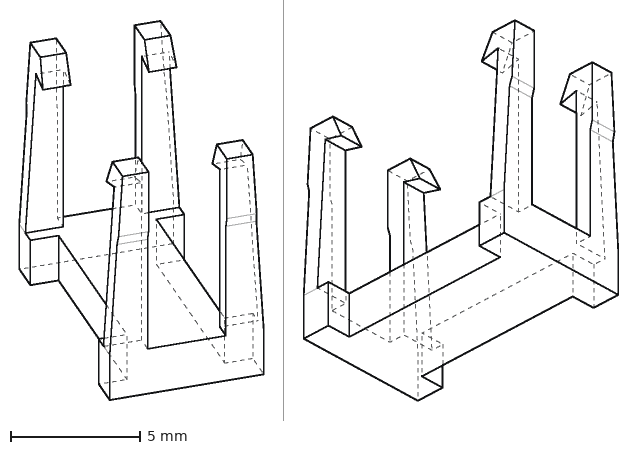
import cadquery as cq
import math

base_length = 10.9
base_height = 2.0
plate_width = 4.0
crossbar_length = 1.35
crossbar_width = 6.3

overall_height = 9.92
overall_length = 11.12
arm_thickness = 0.75
arm_gap = 3.2
arm_taper_angle = 3.52

step_bottom = 6.88
step_top = 7.28

hook_top_length = 1.22
hook_reach = 0.89
hook_root_height = 9.0
hook_tip_height = 8.77

half_base_length = base_length / 2
half_overall_length = overall_length / 2
arm_inner_x = half_base_length - arm_thickness


def make_base():
    plate = cq.Workplane("XY").box(base_length, plate_width, base_height, centered=(True, True, False))
    crossbar_centre = half_base_length - crossbar_length / 2
    crossbars = (
        cq.Workplane("XY")
        .pushPoints([(-crossbar_centre, 0), (crossbar_centre, 0)])
        .rect(crossbar_length, crossbar_width)
        .extrude(base_height)
    )
    return plate.union(crossbars)


def make_hooked_bar():
    """Arm profile at the +X end, extruded across the full crossbar width."""
    profile = [
        (arm_inner_x, 0),
        (half_base_length, 0),
        (half_base_length, step_bottom),
        (half_overall_length, step_top),
        (half_overall_length, overall_height),
        (half_overall_length - hook_top_length, overall_height),
        (arm_inner_x - hook_reach, hook_tip_height),
        (arm_inner_x, hook_root_height),
    ]
    return cq.Workplane("XZ").polyline(profile).close().extrude(crossbar_width / 2, both=True)


def make_arm_envelope():
    """Pair of tapered uprights, running the full length, that trims the bars into separate arms."""
    arm_inner_y = arm_gap / 2
    arm_base_y = crossbar_width / 2
    taper_inset = (overall_height - base_height) * math.tan(math.radians(arm_taper_angle))
    outline = [
        (arm_inner_y, 0),
        (arm_base_y, 0),
        (arm_base_y, base_height),
        (arm_base_y - taper_inset, overall_height),
        (arm_inner_y, overall_height),
    ]
    upright = cq.Workplane("YZ").polyline(outline).close().extrude(half_overall_length, both=True)
    return upright.union(upright.mirror("XZ"))


def make_arms():
    bar = make_hooked_bar()
    bars = bar.union(bar.mirror("YZ"))
    return bars.intersect(make_arm_envelope())


result = make_base().union(make_arms())